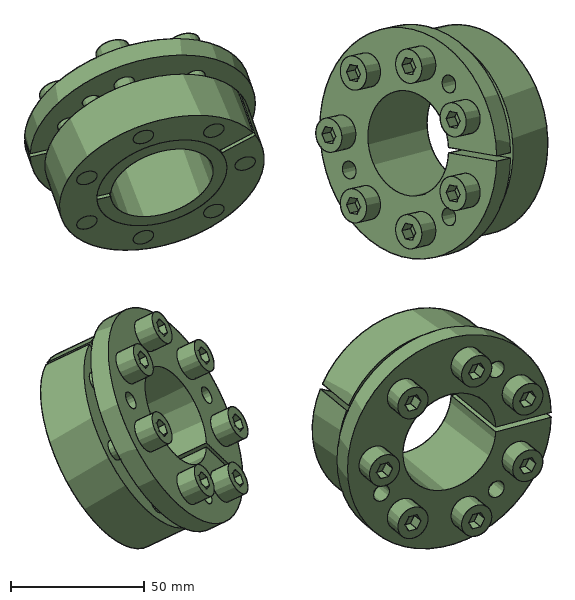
import cadquery as cq
import math


FLANGE_DIA = 88.0
FLANGE_THICK = 8.0
BORE_DIA = 40.0
SMALL_TAPER_DIA = 50.8
TAPER_ANGLE = 5.0
JACK_HOLE_DIA = 6.8

RING_DIA = 80.0
RING_LENGTH = 20.0
FLANGE_GAP = 6.0

SLIT_WIDTH = 2.0

SCREW_COUNT = 7
PITCH_DIA = 65.0
SHANK_DIA = 8.0
HEAD_DIA = 13.0
HEAD_HEIGHT = 8.0
SOCKET_FLATS = 6.0
SOCKET_DEPTH = 5.0

RING_FRONT = FLANGE_THICK + FLANGE_GAP
BACK = RING_FRONT + RING_LENGTH

SCREW_STEP = 360.0 / SCREW_COUNT
SCREW_ANGLES = [i * SCREW_STEP for i in range(SCREW_COUNT)]
JACK_HOLE_ANGLES = [step * SCREW_STEP for step in (2.5, 4.5, 6.5)]
SLEEVE_SLIT_ANGLE = 180.0
RING_SLIT_ANGLE = SCREW_STEP / 2


def cylinder(diameter, start, end, y=0.0, z=0.0):
    """Cylinder parallel to X, from X = start to X = end."""
    return cq.Workplane("YZ", origin=(start, y, z)).circle(diameter / 2).extrude(end - start)


def on_pitch_circle(angle):
    """Y and Z of a point on the screw pitch circle."""
    radius = PITCH_DIA / 2
    return radius * math.cos(math.radians(angle)), radius * math.sin(math.radians(angle))


def taper_cone(start):
    """Solid cone of the mating taper, from X = start to the back end."""
    small_radius = SMALL_TAPER_DIA / 2
    large_radius = small_radius + (BACK - start) * math.tan(math.radians(TAPER_ANGLE))
    profile = [(start, 0), (start, large_radius), (BACK, small_radius), (BACK, 0)]
    return cq.Workplane("XY").polyline(profile).close().revolve(360, (0, 0, 0), (1, 0, 0))


def slit(angle):
    """Radial slab that splits one side of a body along its whole length."""
    slab = cq.Workplane("XY").box(BACK, FLANGE_DIA, SLIT_WIDTH, centered=(False, False, True))
    return slab.rotate((0, 0, 0), (1, 0, 0), angle)


def make_sleeve():
    sleeve = cylinder(FLANGE_DIA, 0, FLANGE_THICK).union(taper_cone(FLANGE_THICK))
    sleeve = sleeve.cut(cylinder(BORE_DIA, 0, BACK))
    for angle in SCREW_ANGLES:
        sleeve = sleeve.cut(cylinder(SHANK_DIA, 0, FLANGE_THICK, *on_pitch_circle(angle)))
    for angle in JACK_HOLE_ANGLES:
        sleeve = sleeve.cut(cylinder(JACK_HOLE_DIA, 0, FLANGE_THICK, *on_pitch_circle(angle)))
    return sleeve.cut(slit(SLEEVE_SLIT_ANGLE))


def make_ring():
    ring = cylinder(RING_DIA, RING_FRONT, BACK).cut(taper_cone(RING_FRONT))
    for angle in SCREW_ANGLES:
        ring = ring.cut(cylinder(SHANK_DIA, RING_FRONT, BACK, *on_pitch_circle(angle)))
    return ring.cut(slit(RING_SLIT_ANGLE))


def make_screw(angle):
    """Socket head screw that ends flush with the back of the ring."""
    y, z = on_pitch_circle(angle)
    head = cylinder(HEAD_DIA, -HEAD_HEIGHT, 0, y, z)
    shank = cylinder(SHANK_DIA, 0, BACK, y, z)
    socket_corners = SOCKET_FLATS / math.cos(math.radians(30))
    head_face = cq.Workplane("YZ", origin=(-HEAD_HEIGHT, y, z))
    socket = head_face.polygon(6, socket_corners).extrude(SOCKET_DEPTH)
    return head.union(shank).cut(socket)


sleeve = make_sleeve()
ring = make_ring()
screws = [make_screw(angle) for angle in SCREW_ANGLES]

bodies = [sleeve, ring, *screws]
result = cq.Compound.makeCompound([body.solids().val() for body in bodies])